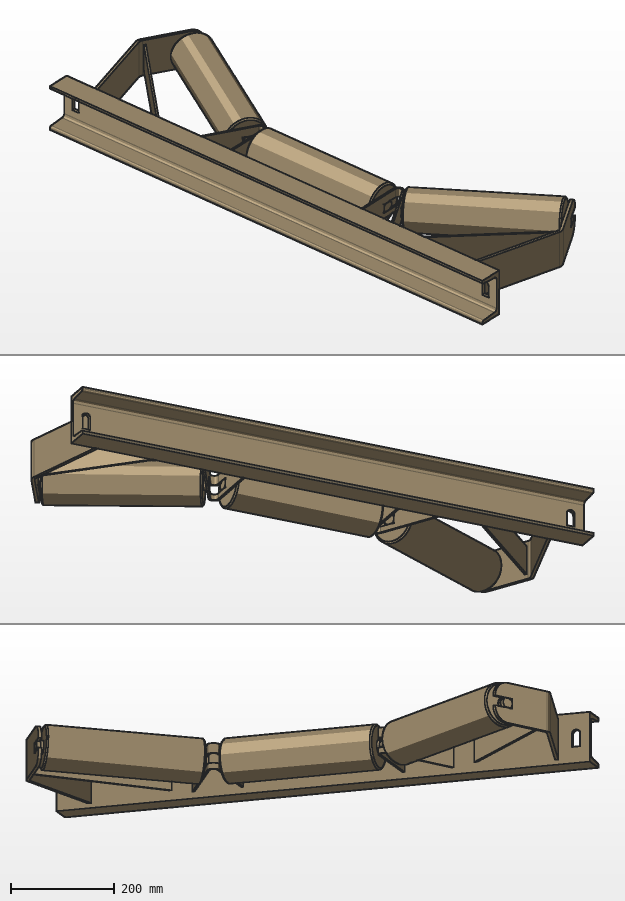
import cadquery as cq
import math


channel_length = 1100.0
channel_height = 100.0
channel_depth = 51.0
web_thickness = 8.0
flange_tip_thickness = 8.0
flange_root_thickness = 11.0
root_fillet = 7.0
flange_tip_fillet = 4.0
slot_width = 16.0
slot_height = 34.0
slot_inset = 29.0
slot_bottom_z = 33.0

plate_mid_z = channel_height / 2
buried_length = 22.0

roller_radius = 89.0 / 2
roller_length = 315.0
roller_end_chamfer = 3.0
collar_radius = 13.0
collar_clearance = 1.0
shaft_radius = 23.0 / 2
shaft_flat_width = 19.0
notch_width = 20.0
notch_length = 66.0
notch_cut_depth = 16.0
trough_angle = math.radians(30)
center_roller_y = 117.0
axis_drop = 14.0
inner_axis_z = plate_mid_z - axis_drop
outer_axis_z = plate_mid_z
side_roller_x = 339.0
side_roller_y = 208.0

bracket_height = 52.0
bracket_mid_z = 40.0
bracket_thickness = 4.0
bracket_gap = 9.0
bracket_bend_radius = 10.0
bracket_x = roller_length / 2 + bracket_gap

stand_height = 80.0
stand_thickness = 7.0
stand_gap = 10.5
stand_bend_radius = 15.0
stand_foot_x = 482.0
stand_bend_y = 200.0
stand_reach = 32.0
stand_end_fillet = 31.0

brace_height = 59.0
brace_thickness = 4.0
brace_foot_x = 315.0
brace_end_y = 211.0

outward = cq.Vector(math.cos(trough_angle), math.sin(trough_angle), 0)
plate_rise = cq.Vector(-math.sin(trough_angle), math.cos(trough_angle), 0)
side_middle = cq.Vector(side_roller_x, side_roller_y, 0)
bracket_seat = side_middle - outward * (roller_length / 2 + bracket_gap)
stand_seat = side_middle + outward * (roller_length / 2 + stand_gap)


def point_at_y(seat, y):
    """Plan point at a given Y on the plate line that passes through the seat."""
    return seat + plate_rise * ((y - seat.y) / plate_rise.y)


def upright_strip(path, thickness, height, mid_z):
    """Strip of constant height that follows a plan path and is trimmed flush with the channel."""
    plane = cq.Plane(origin=path.startPoint(), xDir=(0, 0, 1), normal=path.tangentAt(0))
    strip = (
        cq.Workplane(plane)
        .center(mid_z, 0)
        .rect(height, thickness)
        .sweep(cq.Workplane(obj=path))
    )
    below_face = (
        cq.Workplane("XY", origin=(0, -2 * buried_length, 0))
        .box(channel_length, 2 * buried_length, channel_height, centered=(True, False, False))
    )
    return strip.cut(below_face)


def bent_path(start, corner, end, radius):
    """Plan path of two straight legs joined by an arc at the corner."""
    to_start = (start - corner).normalized()
    to_end = (end - corner).normalized()
    half_angle = to_start.getAngle(to_end) / 2
    bisector = (to_start + to_end).normalized()
    tangent_length = radius / math.tan(half_angle)
    arc_start = corner + to_start * tangent_length
    arc_end = corner + to_end * tangent_length
    arc_middle = corner + bisector * (radius / math.sin(half_angle) - radius)
    return cq.Wire.assembleEdges([
        cq.Edge.makeLine(start, arc_start),
        cq.Edge.makeThreePointArc(arc_start, arc_middle, arc_end),
        cq.Edge.makeLine(arc_end, end),
    ])


def shaft_notch(seat, axis_z, rise):
    """Cutter for an open notch whose floor carries the shaft, running along the plate."""
    floor = seat - rise * shaft_radius + cq.Vector(0, 0, axis_z)
    plane = cq.Plane(origin=floor, xDir=(0, 0, 1), normal=rise)
    return cq.Workplane(plane).rect(notch_width, notch_cut_depth).extrude(notch_length)


def make_channel():
    half_height = channel_height / 2
    inner_root = half_height - flange_root_thickness
    inner_tip = half_height - flange_tip_thickness
    channel = (
        cq.Workplane("YZ", origin=(-channel_length / 2, 0, half_height))
        .polyline([
            (0, -half_height),
            (-channel_depth, -half_height),
            (-channel_depth, -inner_tip),
            (-web_thickness, -inner_root),
            (-web_thickness, inner_root),
            (-channel_depth, inner_tip),
            (-channel_depth, half_height),
            (0, half_height),
        ])
        .close()
        .extrude(channel_length)
    )
    channel = channel.faces("-Y").faces(">Y").edges("|X").fillet(root_fillet)
    channel = channel.faces("<Y").edges("|X").edges("not (<Z or >Z)").fillet(flange_tip_fillet)
    straight_height = slot_height - slot_width / 2
    for side in (-1, 1):
        slot = (
            cq.Workplane("XZ", origin=(side * (channel_length / 2 - slot_inset), 0, slot_bottom_z))
            .moveTo(-slot_width / 2, 0)
            .lineTo(slot_width / 2, 0)
            .lineTo(slot_width / 2, straight_height)
            .threePointArc((0, slot_height), (-slot_width / 2, straight_height))
            .close()
            .extrude(web_thickness)
        )
        channel = channel.cut(slot)
    return channel


def make_roller(inner_seat, outer_seat, inner_gap, inner_plate, outer_gap, outer_plate):
    """Roller with its shaft, on the axis from the inner seat to the outer seat.

    The gaps run from the roller ends to the middles of the plates that hold the shaft.
    The shaft has flats where it enters these plates and ends flush with their far faces.
    """
    axis = (outer_seat - inner_seat).normalized()
    level = cq.Vector(0, 0, 1).cross(axis)
    inner_end = cq.Workplane(cq.Plane(origin=inner_seat + axis * inner_gap, xDir=level, normal=axis))
    shell = (
        inner_end.circle(roller_radius)
        .extrude(roller_length)
        .edges("%CIRCLE")
        .chamfer(roller_end_chamfer)
    )

    inner_collar = inner_gap - inner_plate / 2 - collar_clearance
    outer_collar = outer_gap - outer_plate / 2 - collar_clearance
    collars = (
        inner_end.workplane(offset=-inner_collar)
        .circle(collar_radius)
        .extrude(inner_collar + roller_length + outer_collar)
    )

    inner_shaft = inner_gap + inner_plate / 2
    outer_shaft = outer_gap + outer_plate / 2
    shaft_length = inner_shaft + roller_length + outer_shaft
    shaft_start = inner_end.workplane(offset=-inner_shaft)
    flats = shaft_start.rect(2 * shaft_radius, shaft_flat_width).extrude(shaft_length)
    shaft = shaft_start.circle(shaft_radius).extrude(shaft_length).intersect(flats)
    return shell.union(collars).union(shaft)


def make_center_roller():
    left_seat = cq.Vector(-bracket_x, center_roller_y, inner_axis_z)
    right_seat = cq.Vector(bracket_x, center_roller_y, inner_axis_z)
    return make_roller(
        left_seat, right_seat, bracket_gap, bracket_thickness, bracket_gap, bracket_thickness
    )


def make_side_roller():
    inner_seat = bracket_seat + cq.Vector(0, 0, inner_axis_z)
    outer_seat = stand_seat + cq.Vector(0, 0, outer_axis_z)
    return make_roller(
        inner_seat, outer_seat, bracket_gap, bracket_thickness, stand_gap, stand_thickness
    )


def make_bracket():
    upright_foot = cq.Vector(bracket_x, -buried_length, 0)
    sloping_foot = point_at_y(bracket_seat, -buried_length)
    legs_meet = bracket_seat + plate_rise * ((bracket_x - bracket_seat.x) / plate_rise.x)
    path = bent_path(upright_foot, legs_meet, sloping_foot, bracket_bend_radius)
    upright_seat = cq.Vector(bracket_x, center_roller_y, 0)
    return (
        upright_strip(path, bracket_thickness, bracket_height, bracket_mid_z)
        .cut(shaft_notch(upright_seat, inner_axis_z, cq.Vector(0, 1, 0)))
        .cut(shaft_notch(bracket_seat, inner_axis_z, plate_rise))
    )


def make_stand():
    bend = point_at_y(stand_seat, stand_bend_y)
    end = stand_seat + plate_rise * stand_reach
    foot = cq.Vector(stand_foot_x, 0, 0)
    leg = (foot - bend).normalized()
    path = bent_path(foot + leg * buried_length, bend, end, stand_bend_radius)
    return (
        upright_strip(path, stand_thickness, stand_height, plate_mid_z)
        .faces(">Y")
        .edges("not |Z")
        .edges("<Z or >Z")
        .fillet(stand_end_fillet)
        .cut(shaft_notch(stand_seat, outer_axis_z, plate_rise))
    )


def make_brace(stand):
    """Brace from the channel to the inside of the stand near its bend."""
    end = point_at_y(stand_seat, brace_end_y)
    foot = cq.Vector(brace_foot_x, 0, 0)
    along = (end - foot).normalized()
    path = cq.Wire.assembleEdges([cq.Edge.makeLine(foot - along * buried_length, end)])
    return upright_strip(path, brace_thickness, brace_height, plate_mid_z).cut(stand)


def mirrored_pair(body):
    """The right-hand body and its left-hand mirror image."""
    return [body.val(), body.mirror("YZ").val()]


channel = make_channel()
center_roller = make_center_roller()
stand = make_stand()
bodies = [channel.val(), center_roller.val()]
for right_body in (make_side_roller(), make_bracket(), stand, make_brace(stand)):
    bodies += mirrored_pair(right_body)

result = cq.Compound.makeCompound(bodies)